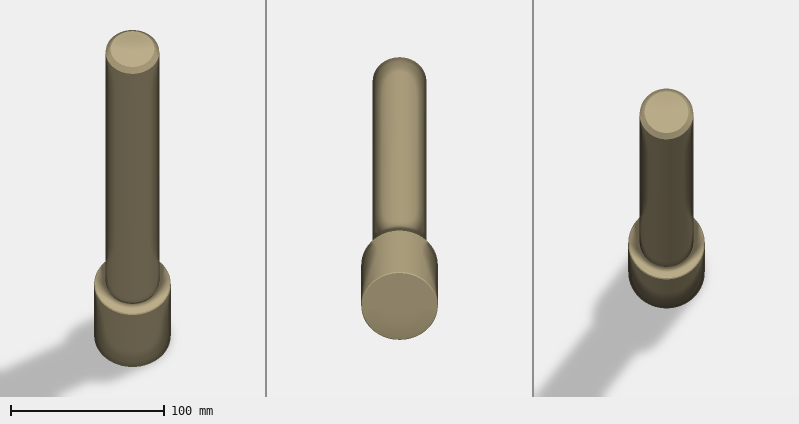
import cadquery as cq

total_length = 325.0
head_diameter = 50.0
head_length = 60.0
head_chamfer = 0.5
shaft_diameter = 35.0
tip_chamfer = 3.2
neck_diameter = 33.0
neck_length = 3.0

head_radius = head_diameter / 2
shaft_radius = shaft_diameter / 2
neck_radius = neck_diameter / 2

profile = (
    cq.Workplane("XZ")
    .lineTo(head_radius - head_chamfer, 0)
    .lineTo(head_radius, head_chamfer)
    .lineTo(head_radius, head_length - head_chamfer)
    .lineTo(head_radius - head_chamfer, head_length)
    .lineTo(neck_radius, head_length)
    .lineTo(neck_radius, head_length + neck_length)
    .lineTo(shaft_radius, head_length + neck_length)
    .lineTo(shaft_radius, total_length - tip_chamfer)
    .lineTo(shaft_radius - tip_chamfer, total_length)
    .lineTo(0, total_length)
    .close()
)

result = profile.revolve(360, (0, 0, 0), (0, 1, 0))